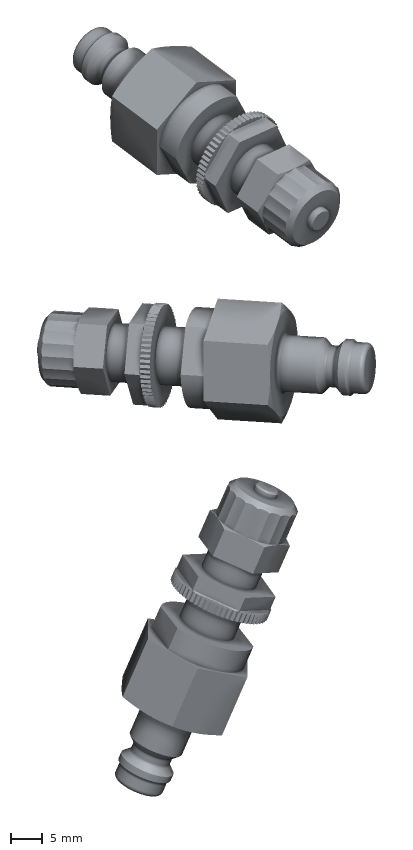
import cadquery as cq
import math


NOSE_RADIUS = 8.15 / 2
NOSE_ROUND = 0.75
NOSE_END = 2.3
SHANK_RADIUS = 9.0 / 2
NOSE_FILLET = 0.55
GROOVE_RADIUS = 6.65 / 2
GROOVE_FILLET = 0.5
GROOVE_START = 5.45
GROOVE_END = 6.35
SHANK_FILLET = 0.5

BODY_START = 14.05
BODY_END = 25.0
BODY_FLATS = 17.0
BODY_ANGLE = 90
BODY_CHAMFER_ANGLE = 18

COLLAR_END = 28.9
COLLAR_RADIUS = 16.0 / 2
COLLAR_FLATS = 14.0
COLLAR_ANGLE = -22

STEM_RADIUS = 9.35 / 2

FLANGE_START = 33.85
FLANGE_END = 35.5
FLANGE_RADIUS = 16.55 / 2
TOOTH_COUNT = 60
TOOTH_DEPTH = 0.25
LOCK_NUT_END = 38.1
LOCK_NUT_FLATS = 14.0
LOCK_NUT_ANGLE = 10.3
FLARE_LENGTH = 0.2
FLARE_ANGLE = 45

CLAMP_START = 41.95
CLAMP_END = 47.0
CLAMP_FLATS = 12.0
CLAMP_ANGLE = 9
CLAMP_CHAMFER_ANGLE = 18
GRIP_END = 53.05
GRIP_RADIUS = 6.0
GRIP_END_RADIUS = 5.05
GRIP_CONE_ANGLE = 45
FLUTE_COUNT = 18
FLUTE_DEPTH = 0.19
TUBE_RADIUS = 4.0 / 2
TUBE_END = 54.1
TUBE_CHAMFER = 0.25

COS45 = math.cos(math.radians(45))


def section(x):
    """Sketch plane across the axis, with local axes Y and Z."""
    return cq.Workplane("YZ", origin=(x, 0, 0))


def polar(radius, angle):
    """Point of a section, at an angle from -Y toward +Z."""
    turn = math.radians(angle)
    return (-radius * math.cos(turn), radius * math.sin(turn))


def cylinder(start, end, radius):
    return section(start).circle(radius).extrude(end - start)


def hexagon(start, end, flats, corner_angle, taper=0):
    corner_radius = flats / math.sqrt(3)
    corners = [polar(corner_radius, corner_angle + 60 * i) for i in range(6)]
    return section(start).polyline(corners).close().extrude(end - start, taper=taper)


def cone_limit(start, end, radius, slope_angle):
    """Cone with `radius` at `start`, widening toward `end`; the slope is measured from the end face."""
    end_radius = radius + abs(end - start) / math.tan(math.radians(slope_angle))
    profile = [(start, 0), (start, radius), (end, end_radius), (end, 0)]
    return cq.Workplane("XY").polyline(profile).close().revolve(360, (0, 0, 0), (1, 0, 0))


def plug():
    """Nose, locking groove and shank, as one turned profile with 45 degree cones."""
    nose_rise = NOSE_FILLET * (1 - COS45)
    nose_cone_x = NOSE_END + NOSE_FILLET * COS45
    nose_cone_r = NOSE_RADIUS + nose_rise
    rib_start = nose_cone_x + SHANK_RADIUS - nose_cone_r

    groove_run = GROOVE_FILLET * COS45
    groove_cone_r = GROOVE_RADIUS + GROOVE_FILLET * (1 - COS45)
    groove_cone_run = SHANK_RADIUS - groove_cone_r
    rib_end = GROOVE_START - groove_run - groove_cone_run
    shank_start = GROOVE_END + groove_run + groove_cone_run

    profile = (
        cq.Workplane("XY")
        .lineTo(0, NOSE_RADIUS - NOSE_ROUND)
        .radiusArc((NOSE_ROUND, NOSE_RADIUS), NOSE_ROUND)
        .lineTo(NOSE_END, NOSE_RADIUS)
        .radiusArc((nose_cone_x, nose_cone_r), -NOSE_FILLET)
        .lineTo(rib_start, SHANK_RADIUS)
        .lineTo(rib_end, SHANK_RADIUS)
        .lineTo(GROOVE_START - groove_run, groove_cone_r)
        .radiusArc((GROOVE_START, GROOVE_RADIUS), -GROOVE_FILLET)
        .lineTo(GROOVE_END, GROOVE_RADIUS)
        .radiusArc((GROOVE_END + groove_run, groove_cone_r), -GROOVE_FILLET)
        .lineTo(shank_start, SHANK_RADIUS)
        .lineTo(BODY_START - SHANK_FILLET, SHANK_RADIUS)
        .radiusArc((BODY_START, SHANK_RADIUS + SHANK_FILLET), -SHANK_FILLET)
        .lineTo(BODY_START, 0)
        .close()
    )
    return profile.revolve(360, (0, 0, 0), (1, 0, 0))


def body():
    """Large hexagon, corners up and down, chamfered on the plug side."""
    block = hexagon(BODY_START, BODY_END, BODY_FLATS, BODY_ANGLE)
    chamfer = cone_limit(BODY_START, BODY_END, BODY_FLATS / 2, BODY_CHAMFER_ANGLE)
    return block.intersect(chamfer)


def collar():
    length = COLLAR_END - BODY_END
    flats = (
        section(BODY_END)
        .transformed(rotate=(0, 0, -COLLAR_ANGLE))
        .rect(COLLAR_FLATS, 2 * COLLAR_RADIUS)
        .extrude(length)
    )
    return cylinder(BODY_END, COLLAR_END, COLLAR_RADIUS).intersect(flats)


def lock_nut():
    """Hexagon nut that flares into a flange with V-shaped knurling."""
    pitch = 360 / TOOTH_COUNT
    teeth = []
    for i in range(TOOTH_COUNT):
        valley_angle = LOCK_NUT_ANGLE + i * pitch
        teeth.append(polar(FLANGE_RADIUS - TOOTH_DEPTH, valley_angle))
        teeth.append(polar(FLANGE_RADIUS, valley_angle + pitch / 2))
    flange = section(FLANGE_START).polyline(teeth).close().extrude(FLANGE_END - FLANGE_START)

    nut = hexagon(FLANGE_END, LOCK_NUT_END, LOCK_NUT_FLATS, LOCK_NUT_ANGLE)
    flare_end = FLANGE_END + FLARE_LENGTH
    flare_flats = LOCK_NUT_FLATS + 2 * FLARE_LENGTH * math.tan(math.radians(FLARE_ANGLE))
    flare = hexagon(FLANGE_END, flare_end, flare_flats, LOCK_NUT_ANGLE, taper=FLARE_ANGLE)
    flare = flare.intersect(cylinder(FLANGE_END, flare_end, FLANGE_RADIUS - TOOTH_DEPTH))
    return flange.union(nut).union(flare)


def clamp_hexagon():
    block = hexagon(CLAMP_START, CLAMP_END, CLAMP_FLATS, CLAMP_ANGLE)
    chamfer = cone_limit(CLAMP_END, CLAMP_START, CLAMP_FLATS / 2, CLAMP_CHAMFER_ANGLE)
    return block.intersect(chamfer)


def grip():
    """Fluted grip: concave flutes in step with the hexagon corners, and an end cone."""
    pitch = 360 / FLUTE_COUNT
    outline = section(CLAMP_END).moveTo(*polar(GRIP_RADIUS, CLAMP_ANGLE - pitch / 2))
    for i in range(FLUTE_COUNT):
        flute_angle = CLAMP_ANGLE + i * pitch
        flute_floor = polar(GRIP_RADIUS - FLUTE_DEPTH, flute_angle)
        outline = outline.threePointArc(flute_floor, polar(GRIP_RADIUS, flute_angle + pitch / 2))
    fluted = outline.close().extrude(GRIP_END - CLAMP_END)
    return fluted.intersect(cone_limit(GRIP_END, CLAMP_END, GRIP_END_RADIUS, GRIP_CONE_ANGLE))


def tube():
    return cylinder(GRIP_END, TUBE_END, TUBE_RADIUS).faces(">X").chamfer(TUBE_CHAMFER)


stem = cylinder(COLLAR_END, CLAMP_START, STEM_RADIUS)

result = plug()
for piece in (body(), collar(), stem, lock_nut(), clamp_hexagon(), grip(), tube()):
    result = result.union(piece)